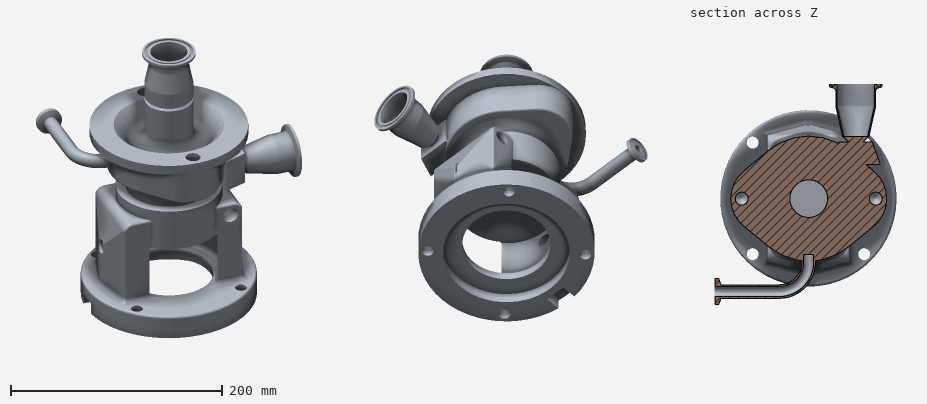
import cadquery as cq
import math

base_radius = 83.5
base_height = 23.5
base_edge_fillet = 2.5
lip_radius = 41.9
recess_radius = 60.0
recess_height = 12.3
lip_fillet = 3.5
slot_width = 20.8
slot_height = 11.7
slot_depth = 16.0
slot_corner_fillet = 2.0
bolt_circle_radius = 74.6
bolt_hole_radius = 5.5
pin_hole_diameter = 1.0
pin_hole_depth = 8.0
pin_hole_angle = 150.0

leg_half_width = 39.0
leg_top = 108.8
leg_reach = 69.3
leg_flat_half_width = 2.7
leg_slope_start = 68.2
leg_slope = math.tan(math.radians(15))
corner_y = leg_reach - leg_slope * (leg_half_width - leg_flat_half_width)
leg_top_round = 10.0
leg_edge_fillet = 2.5
leg_foot_fillet = 5.0
leg_bore_radius = 52.0
leg_hole_diameter = 13.9
leg_hole_height = 66.0
leg_slit_width = 2.7
cross_hole_diameter = 15.0
cross_hole_y = 47.7
cross_hole_height = 97.0

cylinder_radius = 50.7
cylinder_bottom = 78.6
cylinder_top = 120.2
neck_radius = 41.5
neck_flare = 10.7

housing_bottom = 141.5
housing_top = 176.2
housing_radius = 60.0
lobe_radius = 34.5
lobe_offset = 40.3
housing_draft = 2.0
housing_edge_fillet = 2.5

flange_radius = 75.2
flange_top = 185.8
dish_rim_radius = 52.3
dish_cone_radius = 40.0
dish_cone_depth = 12.0
flange_hole_offset = 63.5
flange_hole_radius = 7.2
thread_hole_radius = 5.9
thread_hole_depth = 26.7

ferrule_radius = 25.3
ferrule_rim = 2.7
ferrule_back_angle = 15.0
ferrule_neck_fillet = 2.0
ferrule_pipe_radius = 19.2
ferrule_bore = 17.5
groove_middle = 21.9
groove_half_width = 1.3
groove_depth = 1.3

inlet_top = 266.5
inlet_radius = 23.2
inlet_groove_radius = 21.0
inlet_groove_bottom = 214.5
inlet_groove_middle = 216.5
inlet_groove_top = 218.3
inlet_cone_bottom = 233.0
inlet_cone_top = 253.3
inlet_floor = 152.0

outlet_x = 44.5
outlet_end = 108.2
port_height = 159.0
outlet_cone_start = 87.7
outlet_cone_end = 59.0
outlet_cone_radius = 12.8
outlet_root_y = 53.9
outlet_root_radius = 7.5
outlet_wall = 1.5
boss_half_width = 15.7
boss_spread = math.tan(math.radians(20))
boss_inner_y = 32.0

flush_end = -89.0
flush_radius = 6.7
flush_bore = 4.5
flush_bend_radius = 28.0
flush_height = 159.7
flush_rim = 4.0
flush_neck_length = 6.0
flush_ferrule_radius = 12.5
flush_groove_middle = 10.0
flush_groove_half_width = 0.8
flush_groove_depth = 0.8


def turned(points):
    """Solid of revolution about Z from (radius, height) points."""
    return cq.Workplane("XZ").polyline(points).close().revolve(360, (0, 0), (0, 1))


def disc(radius, bottom, top):
    return cq.Workplane("XY").workplane(offset=bottom).circle(radius).extrude(top - bottom)


def face_groove(middle, half_width, depth, face):
    """Ring to cut out of a ferrule face at the given height."""
    ring = cq.Workplane("XY").workplane(offset=face - depth)
    return ring.circle(middle + half_width).circle(middle - half_width).extrude(depth)


def make_base():
    base = disc(base_radius, 0, base_height)
    return base.faces(">Z").edges().fillet(base_edge_fillet)


def make_leg_column():
    """Both legs as one straight column; the bore later splits it in two."""
    plan = [
        (-leg_half_width, -corner_y),
        (-leg_flat_half_width, -leg_reach),
        (leg_flat_half_width, -leg_reach),
        (leg_half_width, -corner_y),
        (leg_half_width, corner_y),
        (leg_flat_half_width, leg_reach),
        (-leg_flat_half_width, leg_reach),
        (-leg_half_width, corner_y),
    ]
    return cq.Workplane("XY").polyline(plan).close().extrude(leg_top)


def make_leg_envelope():
    """Space that the column may fill: sloping sides and a rounded top."""
    foot_y = leg_reach + leg_slope * leg_slope_start
    top_y = foot_y - leg_slope * leg_top
    side = [(-foot_y, 0), (foot_y, 0), (top_y, leg_top), (-top_y, leg_top)]
    envelope = cq.Workplane("YZ").polyline(side).close().extrude(leg_half_width, both=True)
    envelope = envelope.faces(">Z").edges("|X").fillet(leg_top_round)
    return envelope.faces("<X or >X").edges("not(<Z)").fillet(leg_edge_fillet)


def make_foot():
    """Base and legs joined, with a fillet around the foot of the legs."""
    foot = make_base().union(make_leg_column())
    margin = 0.3
    around_legs = cq.selectors.BoxSelector(
        (-leg_half_width - margin, -leg_reach - margin, base_height - margin),
        (leg_half_width + margin, leg_reach + margin, base_height + margin),
        boundingbox=True,
    )
    foot = foot.edges(around_legs).fillet(leg_foot_fillet)
    leg_corners = cq.selectors.BoxSelector(
        (-leg_half_width - margin, -corner_y - margin, base_height),
        (leg_half_width + margin, corner_y + margin, leg_top),
    )
    foot = foot.edges("|Z").edges(leg_corners).fillet(leg_edge_fillet)
    base_envelope = disc(base_radius, 0, base_height + leg_foot_fillet)
    return foot.intersect(base_envelope.union(make_leg_envelope()))


def make_foot_bore():
    """Stepped opening: recess, rounded lip, and the bore between the legs."""
    diagonal = math.sqrt(0.5)
    lip_center = (lip_radius + lip_fillet, base_height - lip_fillet)
    cove_center = (leg_bore_radius - leg_foot_fillet, base_height + leg_foot_fillet)
    return (
        cq.Workplane("XZ")
        .moveTo(0, 0)
        .lineTo(recess_radius, 0)
        .lineTo(recess_radius, recess_height)
        .lineTo(lip_radius, recess_height)
        .lineTo(lip_radius, lip_center[1])
        .threePointArc(
            (lip_center[0] - lip_fillet * diagonal, lip_center[1] + lip_fillet * diagonal),
            (lip_center[0], base_height),
        )
        .lineTo(cove_center[0], base_height)
        .threePointArc(
            (cove_center[0] + leg_foot_fillet * diagonal, cove_center[1] - leg_foot_fillet * diagonal),
            (leg_bore_radius, cove_center[1]),
        )
        .lineTo(leg_bore_radius, cylinder_bottom)
        .lineTo(0, cylinder_bottom)
        .close()
        .revolve(360, (0, 0), (0, 1))
    )


def cut_foot_holes(foot):
    bolts = (
        cq.Workplane("XY")
        .polarArray(bolt_circle_radius, 45, 360, 4)
        .circle(bolt_hole_radius)
        .extrude(base_height)
    )
    slot = (
        cq.Workplane("XY")
        .box(slot_width, 2 * slot_depth, slot_height, centered=(True, True, False))
        .faces(">Z").edges().fillet(slot_corner_fillet)
        .translate((0, -base_radius, 0))
    )
    pin = (
        cq.Workplane("YZ")
        .workplane(offset=base_radius - pin_hole_depth)
        .center(0, base_height / 2)
        .circle(pin_hole_diameter / 2)
        .extrude(2 * pin_hole_depth)
        .rotate((0, 0, 0), (0, 0, 1), pin_hole_angle)
    )
    foot = foot.cut(bolts).cut(slot).cut(pin)

    front_hole = (
        cq.Workplane("XZ")
        .center(0, leg_hole_height)
        .circle(leg_hole_diameter / 2)
        .extrude(base_radius)
    )
    rear_slit = (
        cq.Workplane("XY")
        .box(leg_slit_width, base_radius, leg_hole_diameter, centered=(True, False, True))
        .translate((0, 0, leg_hole_height))
    )
    return foot.cut(front_hole).cut(rear_slit)


def make_neck():
    """Bearing cylinder and the neck that flares out under the housing."""
    flare_start = housing_bottom - neck_flare
    diagonal = math.sqrt(0.5)
    flare_middle = (
        neck_radius + neck_flare * (1 - diagonal),
        flare_start + neck_flare * diagonal,
    )
    neck = (
        cq.Workplane("XZ")
        .moveTo(0, cylinder_top)
        .lineTo(neck_radius, cylinder_top)
        .lineTo(neck_radius, flare_start)
        .threePointArc(flare_middle, (neck_radius + neck_flare, housing_bottom))
        .lineTo(0, housing_bottom)
        .close()
        .revolve(360, (0, 0), (0, 1))
    )
    return disc(cylinder_radius, cylinder_bottom, cylinder_top).union(neck)


def make_housing():
    """Straight walls run tangent from the round body to the side lobes."""
    tangent = math.acos((housing_radius - lobe_radius) / lobe_offset)
    body_x = housing_radius * math.cos(tangent)
    body_y = housing_radius * math.sin(tangent)
    lobe_x = lobe_offset + lobe_radius * math.cos(tangent)
    lobe_y = lobe_radius * math.sin(tangent)
    lobe_end = lobe_offset + lobe_radius
    return (
        cq.Workplane("XY")
        .workplane(offset=housing_top)
        .moveTo(body_x, body_y)
        .threePointArc((0, housing_radius), (-body_x, body_y))
        .lineTo(-lobe_x, lobe_y)
        .threePointArc((-lobe_end, 0), (-lobe_x, -lobe_y))
        .lineTo(-body_x, -body_y)
        .threePointArc((0, -housing_radius), (body_x, -body_y))
        .lineTo(lobe_x, -lobe_y)
        .threePointArc((lobe_end, 0), (lobe_x, lobe_y))
        .close()
        .extrude(housing_bottom - housing_top, taper=housing_draft)
        .faces("<Z").edges().fillet(housing_edge_fillet)
    )


def make_dish():
    """Conical dish whose floor sweeps up to the inlet pipe in one arc."""
    cone_angle = math.atan2(dish_cone_depth, dish_rim_radius - dish_cone_radius)
    sweep = (dish_cone_radius - inlet_radius) / (1 + math.sin(cone_angle))
    center_r = inlet_radius + sweep
    center_z = flange_top - dish_cone_depth + sweep * math.cos(cone_angle)
    middle_angle = (math.pi + 1.5 * math.pi + cone_angle) / 2
    middle = (
        center_r + sweep * math.cos(middle_angle),
        center_z + sweep * math.sin(middle_angle),
    )
    return (
        cq.Workplane("XZ")
        .moveTo(dish_rim_radius, flange_top)
        .lineTo(dish_cone_radius, flange_top - dish_cone_depth)
        .threePointArc(middle, (inlet_radius, center_z))
        .lineTo(inlet_radius, flange_top)
        .close()
        .revolve(360, (0, 0), (0, 1))
    )


def make_flange_hole():
    thread_floor = flange_top - thread_hole_depth
    tip = thread_floor - thread_hole_radius * math.tan(math.radians(30))
    return turned([
        (0, flange_top),
        (flange_hole_radius, flange_top),
        (flange_hole_radius, housing_top),
        (thread_hole_radius, housing_top),
        (thread_hole_radius, thread_floor),
        (0, tip),
    ])


def make_ferrule(face):
    """Clamp ferrule with a coned back; its flat face is at the given height."""
    back = math.radians(ferrule_back_angle)
    fillet_r = ferrule_pipe_radius + ferrule_neck_fillet
    cone_end_r = fillet_r - ferrule_neck_fillet * math.sin(back)
    cone_end_z = face - ferrule_rim - (ferrule_radius - cone_end_r) * math.tan(back)
    fillet_z = cone_end_z - ferrule_neck_fillet * math.cos(back)
    middle_angle = (math.pi / 2 + back + math.pi) / 2
    middle = (
        fillet_r + ferrule_neck_fillet * math.cos(middle_angle),
        fillet_z + ferrule_neck_fillet * math.sin(middle_angle),
    )
    ferrule = (
        cq.Workplane("XZ")
        .moveTo(0, face)
        .lineTo(ferrule_radius, face)
        .lineTo(ferrule_radius, face - ferrule_rim)
        .lineTo(cone_end_r, cone_end_z)
        .threePointArc(middle, (ferrule_pipe_radius, fillet_z))
        .lineTo(0, fillet_z)
        .close()
        .revolve(360, (0, 0), (0, 1))
    )
    return ferrule.cut(face_groove(groove_middle, groove_half_width, groove_depth, face))


def make_inlet():
    pipe = turned([
        (0, housing_bottom),
        (inlet_radius, housing_bottom),
        (inlet_radius, inlet_groove_bottom),
        (inlet_groove_radius, inlet_groove_middle),
        (inlet_groove_radius, inlet_groove_top),
        (inlet_radius, inlet_groove_top),
        (inlet_radius, inlet_cone_bottom),
        (ferrule_pipe_radius, inlet_cone_top),
        (ferrule_pipe_radius, inlet_top),
        (0, inlet_top),
    ])
    return pipe.union(make_ferrule(inlet_top))


def make_outlet():
    pipe = turned([
        (0, boss_inner_y),
        (outlet_root_radius, boss_inner_y),
        (outlet_root_radius, outlet_root_y),
        (outlet_cone_radius, outlet_cone_end),
        (ferrule_pipe_radius, outlet_cone_start),
        (ferrule_pipe_radius, outlet_end),
        (0, outlet_end),
    ])
    bore = turned([
        (0, outlet_cone_end),
        (outlet_cone_radius - outlet_wall, outlet_cone_end),
        (ferrule_bore, outlet_cone_start),
        (ferrule_bore, outlet_end),
        (0, outlet_end),
    ])
    outlet = pipe.union(make_ferrule(outlet_end)).cut(bore)
    outlet = outlet.rotate((0, 0, 0), (1, 0, 0), -90)
    return outlet.translate((outlet_x, 0, port_height))


def make_outlet_boss():
    """Block on the housing wall that widens inward from its outer face."""
    inner_half_width = boss_half_width + boss_spread * (outlet_root_y - boss_inner_y)
    outline = [
        (outlet_x - boss_half_width, outlet_root_y),
        (outlet_x + boss_half_width, outlet_root_y),
        (outlet_x + inner_half_width, boss_inner_y),
        (outlet_x - inner_half_width, boss_inner_y),
    ]
    boss_bottom = housing_bottom + housing_edge_fillet
    boss = cq.Workplane("XY").workplane(offset=boss_bottom).polyline(outline).close()
    return boss.extrude(housing_top - boss_bottom)


def flush_sweep(radius):
    """Round bar along the flush pipe: straight, then a quarter bend into the housing."""
    axis_y = -housing_radius - flush_bend_radius
    half = flush_bend_radius * math.sqrt(0.5)
    path = (
        cq.Workplane("XY")
        .workplane(offset=flush_height)
        .moveTo(flush_end, axis_y)
        .lineTo(-flush_bend_radius, axis_y)
        .threePointArc((-flush_bend_radius + half, -housing_radius - half), (0, -housing_radius))
        .lineTo(0, -housing_radius + flush_radius)
    )
    start = cq.Workplane("YZ", origin=(flush_end, axis_y, flush_height))
    return start.circle(radius).sweep(path)


def make_flush_ferrule():
    ferrule = turned([
        (0, 0),
        (flush_ferrule_radius, 0),
        (flush_ferrule_radius, -flush_rim),
        (flush_radius, -flush_neck_length),
        (0, -flush_neck_length),
    ])
    ferrule = ferrule.cut(
        face_groove(flush_groove_middle, flush_groove_half_width, flush_groove_depth, 0)
    )
    ferrule = ferrule.rotate((0, 0, 0), (0, 1, 0), -90)
    return ferrule.translate((flush_end, -housing_radius - flush_bend_radius, flush_height))


foot = cut_foot_holes(make_foot().cut(make_foot_bore()))
cross_hole = (
    cq.Workplane("YZ")
    .center(cross_hole_y, cross_hole_height)
    .circle(cross_hole_diameter / 2)
    .extrude(base_radius, both=True)
)
lower = foot.union(make_neck()).cut(cross_hole)

flange = disc(flange_radius, housing_top, flange_top)
upper = make_housing().union(make_outlet_boss()).union(flange).cut(make_dish())
for side in (-1, 1):
    upper = upper.cut(make_flange_hole().translate((side * flange_hole_offset, 0, 0)))
upper = upper.union(make_inlet()).cut(disc(ferrule_bore, inlet_floor, inlet_top))
upper = upper.union(make_outlet())
upper = upper.union(flush_sweep(flush_radius)).union(make_flush_ferrule()).cut(flush_sweep(flush_bore))

result = lower.union(upper)